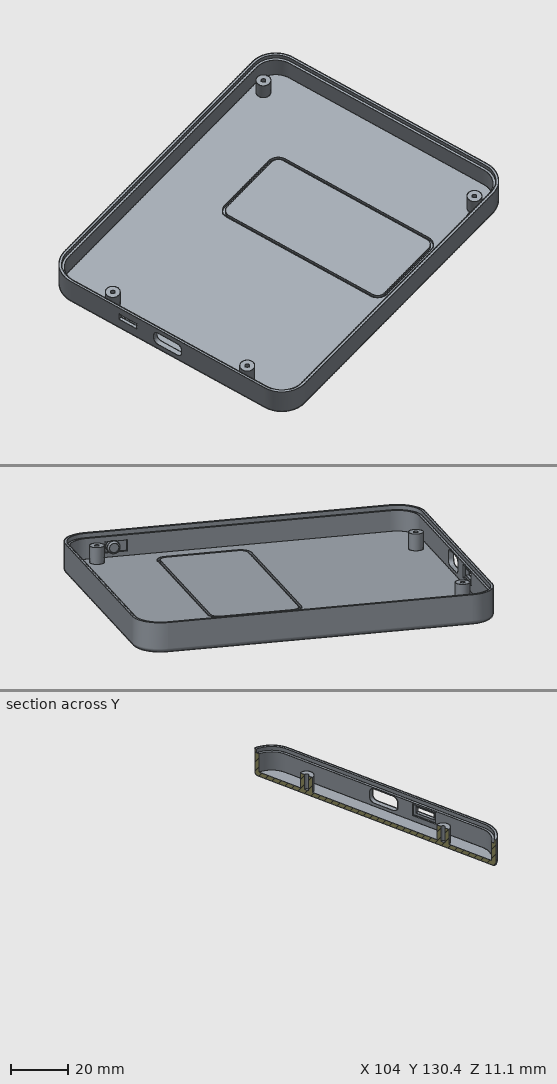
import cadquery as cq

LENGTH_X = 104.0
LENGTH_Y = 130.4
HEIGHT = 11.1
CORNER_RADIUS = 10.0
BOTTOM_FILLET = 1.4

WALL = 2.0
FLOOR = 2.0
RIM_WALL = WALL / 2
INNER_FACE_X = LENGTH_X / 2 - WALL
RIM_DEPTH = 1.5

POST_PAIRS = [(45.6, 52.5), (29.1, -58.3)]
POST_SHIFT_X = 0.3
POST_DIAMETER = 5.2
POST_HOLE_DIAMETER = 1.5
POST_TOP = 8.1

GROOVE_LENGTH_X = 70.2
GROOVE_LENGTH_Y = 34.0
GROOVE_CENTER = (10.3, 14.9)
GROOVE_WIDTH = 1.0
GROOVE_DEPTH = 1.0
GROOVE_RADIUS = 4.0

PORT_WIDTH = 12.0
PORT_HEIGHT = 5.9
PORT_RADIUS = 2.0
PORT_Z = 6.1
SLOT_WIDTH = 7.7
SLOT_HEIGHT = 2.6
SLOT_X = -17.2
SLOT_Z = 6.5

SLOT_RECESS_MARGIN = 1.0
SLOT_RECESS_DEPTH = 0.7

RECESS_LENGTH = 8.1
RECESS_HEIGHT = 4.0
RECESS_DEPTH = 0.9
RECESS_Y = 44.3
BUTTON_DIAMETER = 4.7
BUTTON_CHAMFER = 0.7
BUTTON_PROJECTION = 1.4
BUTTON_Y = 45.5
BUTTON_Z = 5.6


def rounded_block(length_x, length_y, radius, bottom, top):
    block = cq.Workplane("XY").workplane(offset=bottom).rect(length_x, length_y).extrude(top - bottom)
    return block.edges("|Z").fillet(radius)


def inset_block(inset, bottom, top):
    """Block that follows the tray outline at a constant distance inside it."""
    return rounded_block(LENGTH_X - 2 * inset, LENGTH_Y - 2 * inset, CORNER_RADIUS - inset, bottom, top)


def tray():
    body = inset_block(0, 0, HEIGHT).faces("<Z").edges().fillet(BOTTOM_FILLET)
    cavity = inset_block(WALL, FLOOR, HEIGHT)
    rim_step = inset_block(RIM_WALL, HEIGHT - RIM_DEPTH, HEIGHT)
    return body.cut(cavity).cut(rim_step)


def posts():
    places = [(POST_SHIFT_X + side * x, y) for x, y in POST_PAIRS for side in (-1, 1)]
    floor_plane = cq.Workplane("XY").workplane(offset=FLOOR).pushPoints(places)
    return floor_plane.circle(POST_DIAMETER / 2).circle(POST_HOLE_DIAMETER / 2).extrude(POST_TOP - FLOOR)


def floor_groove():
    bottom = FLOOR - GROOVE_DEPTH
    outer = rounded_block(GROOVE_LENGTH_X, GROOVE_LENGTH_Y, GROOVE_RADIUS, bottom, FLOOR)
    inner = rounded_block(
        GROOVE_LENGTH_X - 2 * GROOVE_WIDTH,
        GROOVE_LENGTH_Y - 2 * GROOVE_WIDTH,
        GROOVE_RADIUS - GROOVE_WIDTH,
        bottom,
        FLOOR,
    )
    return outer.cut(inner).translate((*GROOVE_CENTER, 0))


def front_openings():
    wall_center_y = (WALL - LENGTH_Y) / 2
    cut_depth = 2 * WALL
    port = cq.Workplane("XY").box(PORT_WIDTH, cut_depth, PORT_HEIGHT).edges("|Y").fillet(PORT_RADIUS)
    slot = cq.Workplane("XY").box(SLOT_WIDTH, cut_depth, SLOT_HEIGHT)
    port = port.translate((0, wall_center_y, PORT_Z))
    return port.union(slot.translate((SLOT_X, wall_center_y, SLOT_Z)))


def slot_recess():
    length = SLOT_WIDTH + 2 * SLOT_RECESS_MARGIN
    height = SLOT_HEIGHT + 2 * SLOT_RECESS_MARGIN
    center_y = -LENGTH_Y / 2 + WALL - SLOT_RECESS_DEPTH / 2
    return cq.Workplane("XY").box(length, SLOT_RECESS_DEPTH, height).translate((SLOT_X, center_y, SLOT_Z))


def button_recess():
    center_x = INNER_FACE_X + RECESS_DEPTH / 2
    recess = cq.Workplane("XY").box(RECESS_DEPTH, RECESS_LENGTH, RECESS_HEIGHT)
    return recess.translate((center_x, RECESS_Y, BUTTON_Z))


def button():
    tip_x = INNER_FACE_X - BUTTON_PROJECTION
    tip_plane = cq.Workplane("YZ").workplane(offset=tip_x).center(BUTTON_Y, BUTTON_Z)
    cylinder = tip_plane.circle(BUTTON_DIAMETER / 2).extrude(BUTTON_PROJECTION + RECESS_DEPTH)
    return cylinder.faces("<X").chamfer(BUTTON_CHAMFER)


result = tray().union(posts()).cut(floor_groove()).cut(front_openings()).cut(slot_recess())
result = result.cut(button_recess()).union(button())